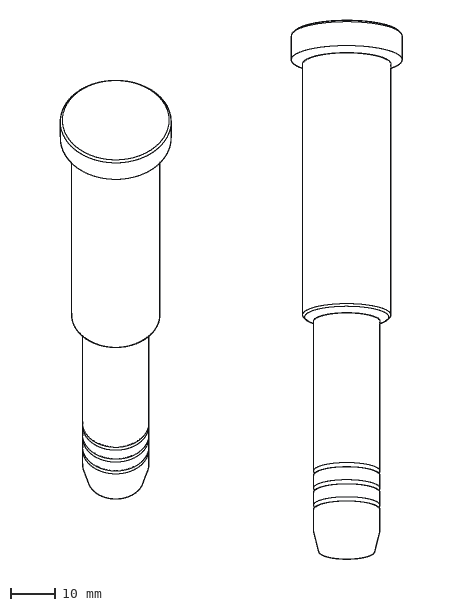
import cadquery as cq

total_length = 121.0
head_diameter = 25.0
head_height = 6.0
body_diameter = 20.0
body_bottom = 54.9
pin_diameter = 15.0

edge_chamfer = 0.5
relief_height = 1.0
relief_depth = 0.3
relief_fillet = 0.29

tip_length = 5.0
tip_diameter = 12.6
tip_fillet = 0.5

groove_count = 3
groove_pitch = 4.0
lowest_groove_center = 10.5
groove_width = 1.0
groove_depth = 0.5

head_bottom = total_length - head_height


def cylinder(diameter, bottom, top):
    """Solid round section between two heights."""
    return cq.Workplane("XY").workplane(offset=bottom).circle(diameter / 2).extrude(top - bottom)


def relief_cut(diameter, shoulder):
    """Ring below a shoulder, with a rounded inner corner against the shoulder."""
    radius = diameter / 2
    floor = radius - relief_depth
    profile = (
        cq.Workplane("XZ")
        .moveTo(radius, shoulder)
        .lineTo(floor + relief_fillet, shoulder)
        .radiusArc((floor, shoulder - relief_fillet), -relief_fillet)
        .lineTo(floor, shoulder - relief_height)
        .lineTo(radius, shoulder - relief_height)
        .close()
    )
    return profile.revolve(360, (0, 0, 0), (0, 1, 0))


def groove_cut(center):
    """Ring with a circular-arc section, centred at the given height."""
    radius = pin_diameter / 2
    profile = (
        cq.Workplane("XZ")
        .moveTo(radius, center - groove_width / 2)
        .threePointArc((radius - groove_depth, center), (radius, center + groove_width / 2))
        .close()
    )
    return profile.revolve(360, (0, 0, 0), (0, 1, 0))


def make_tip():
    """Cone widening from the rounded end up to the pin diameter."""
    tip = (
        cq.Workplane("XY")
        .circle(tip_diameter / 2)
        .workplane(offset=tip_length)
        .circle(pin_diameter / 2)
        .loft(ruled=True)
    )
    return tip.faces("<Z").edges().fillet(tip_fillet)


head = cylinder(head_diameter, head_bottom, total_length).faces(">Z").chamfer(edge_chamfer)

body = cylinder(body_diameter, body_bottom, head_bottom).faces("<Z").chamfer(edge_chamfer)
body = body.cut(relief_cut(body_diameter, head_bottom))

pin = cylinder(pin_diameter, tip_length, body_bottom)
pin = pin.cut(relief_cut(pin_diameter, body_bottom))
for index in range(groove_count):
    pin = pin.cut(groove_cut(lowest_groove_center + index * groove_pitch))

result = head.union(body).union(pin).union(make_tip())